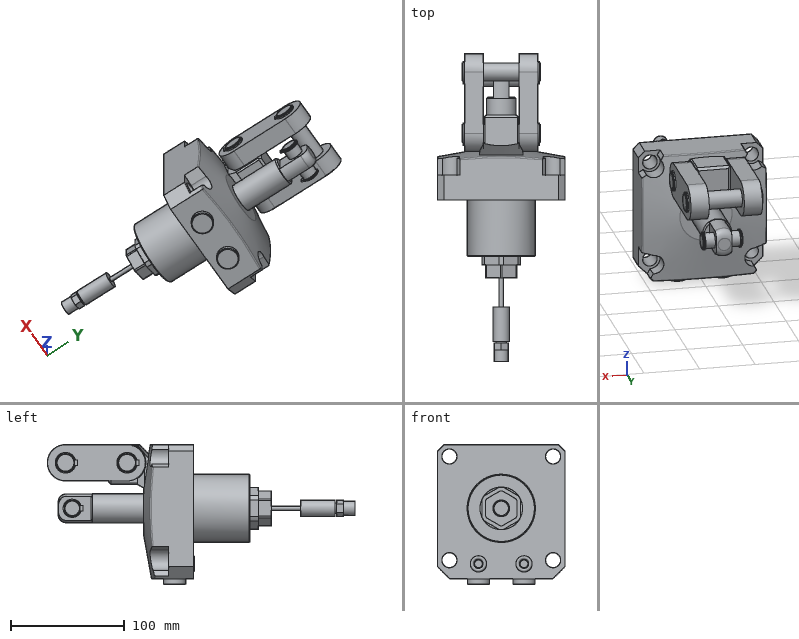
import cadquery as cq
import math


flange_half_width = 56.0
flange_top = flange_half_width
flange_bottom = -62.0
top_corner_chamfer = 5.75
bottom_corner_chamfer = 10.9
bolt_offset = 45.5
bolt_diameter = 13.0
dome_height = 44.0
dome_flat_radius = 23.5
dome_slope = 0.18
dome_edge_fillet = 1.0

pocket_floor = 22.0
pocket_radius = 9.0
pocket_neck = 6.2
pocket_mouth = 9.2
lower_pocket_side_flare = 0.3
lower_pocket_bottom_flare = 0.5

barrel_diameter = 60.0
barrel_end = -49.5
barrel_chamfer = 0.9
recess_diameter = 37.4
recess_depth = 1.0
large_hex_flats = 34.0
large_hex_diameter = 37.0
large_hex_end = -56.8
small_hex_flats = 27.4
small_hex_diameter = 30.7
small_hex_end = -68.25

port_spacing = 40.0
face_port_z = -48.75
face_port_diameter = 14.3
face_port_bore = 8.0
face_port_height = 0.7
face_port_depth = 2.0
nozzle_wall = 0.6
plug_y = 16.75
plug_diameter = 19.6
plug_height = 5.05
plug_chamfer = 0.8

link_width = 32.0
link_pin_z = flange_top - link_width / 2
link_pin_y = 58.5
link_pitch = 54.0
link_end_pin_y = link_pin_y + link_pitch
link_inner = 15.75
link_thickness = 16.5
link_outer = link_inner + link_thickness
link_pin_diameter = 16.0

lug_half_width = 15.5
lug_bottom = 20.9
lug_end = 74.75
lug_end_chamfer = 2.2
lug_edge_chamfer = 1.4
flare_start = 49.5
flare_base = 43.0
flare_growth = 3.5
relief_clearance = 0.5
trim_start = 47.7
lug_root = 37.0

rod_diameter = 26.0
rod_end = 119.0
rod_end_fillet = 7.0
rod_shoulder = 90.3
rod_shoulder_chamfer = 1.3
rod_head_diameter = 25.4
rod_head_half_width = 7.0
rod_seat = 10.0
rod_pin_y = 106.6
rod_pin_diameter = 14.0
rod_pin_half_length = 18.0

pin_overhang = 2.3
pin_chamfer = 0.6
ring_thickness = 1.2
ring_wall = 1.0
ring_ear_length = 2.6
ring_ear_width = 4.6

cable_diameter = 4.0
cable_seat = small_hex_end + 5.0
sensor_end = -141.75
sleeve_diameter = 14.6
sleeve_start = -93.75
neck_diameter = 9.5
neck_start = -124.2
nut_flats = 12.6
nut_start = -125.4
nut_end = -131.4
tip_diameter = 12.6


def bar_y(diameter, start, end, x=0.0, z=0.0):
    """Round bar parallel to Y."""
    plane = cq.Workplane("XZ", origin=(x, start, z))
    return plane.circle(diameter / 2).extrude(start - end)


def bar_x(diameter, half_length, y, z):
    """Round bar parallel to X, centred on X = 0."""
    plane = cq.Workplane("YZ", origin=(0, y, z))
    return plane.circle(diameter / 2).extrude(half_length, both=True)


def hex_y(flats, start, end):
    """Hexagonal bar along Y with corners pointing up and down."""
    hexagon = cq.Workplane("XZ", origin=(0, start, 0)).polygon(6, flats / math.cos(math.pi / 6))
    return hexagon.extrude(start - end).rotate((0, 0, 0), (0, 1, 0), 30)


def block(x_range, y_range, z_range):
    size = [high - low for low, high in (x_range, y_range, z_range)]
    corner = (x_range[0], y_range[0], z_range[0])
    return cq.Workplane("XY").box(*size, centered=False).translate(corner)


def pin_with_rings(diameter, half_length, seat, y, z):
    """Pin along X with an eared retaining ring at each end, outside the given seat."""
    pin = bar_x(diameter, half_length, y, z).faces("<X or >X").chamfer(pin_chamfer)
    ring_radius = diameter / 2 + ring_wall
    for side in (-1, 1):
        ring_plane = cq.Workplane("YZ", origin=(side * seat, y, z))
        ring = ring_plane.circle(ring_radius).extrude(side * ring_thickness)
        ear_reach = diameter / 2 + ring_ear_length
        ear = (
            ring_plane.center(-ear_reach / 2, 0)
            .rect(ear_reach, ring_ear_width)
            .extrude(side * ring_thickness)
        )
        pin = pin.union(ring).union(ear)
    return pin


def make_flange():
    """Square flange with chamfered corners under a shallow conical dome."""
    outline = (
        cq.Workplane("XZ")
        .moveTo(-flange_half_width, flange_bottom + bottom_corner_chamfer)
        .lineTo(-flange_half_width, flange_top - top_corner_chamfer)
        .lineTo(-flange_half_width + top_corner_chamfer, flange_top)
        .lineTo(flange_half_width - top_corner_chamfer, flange_top)
        .lineTo(flange_half_width, flange_top - top_corner_chamfer)
        .lineTo(flange_half_width, flange_bottom + bottom_corner_chamfer)
        .lineTo(flange_half_width - bottom_corner_chamfer, flange_bottom)
        .lineTo(-flange_half_width + bottom_corner_chamfer, flange_bottom)
        .close()
        .extrude(-dome_height)
    )
    rim_radius = math.hypot(flange_half_width, flange_bottom)
    rim_height = dome_height - dome_slope * (rim_radius - dome_flat_radius)
    dome = (
        cq.Workplane("XY")
        .polyline([(0, 0), (rim_radius, 0), (rim_radius, rim_height),
                   (dome_flat_radius, dome_height), (0, dome_height)])
        .close()
        .revolve(360, (0, 0, 0), (0, 1, 0))
    )
    flange = outline.intersect(dome)
    rim_reach = 2 * flange_half_width
    dome_rim = cq.selectors.BoxSelector(
        (-rim_reach, pocket_floor, -rim_reach),
        (rim_reach, dome_height - dome_edge_fillet, rim_reach))
    return flange.edges(dome_rim).fillet(dome_edge_fillet)


def place_pocket(wall, x_sign, z_sign):
    """Turn a pocket outline into a cutter at one bolt, mirrored into its quadrant.

    The outline is measured from the bolt, outwards in X and outwards in Z.
    """
    cutter = wall.close().extrude(-dome_height)
    if x_sign < 0:
        cutter = cutter.mirror("YZ")
    if z_sign < 0:
        cutter = cutter.mirror("XY")
    return cutter.translate((x_sign * bolt_offset, 0, z_sign * bolt_offset))


def upper_pocket(x_sign):
    """Round wall behind the bolt head that flares towards the flange side and top."""
    neck_depth = math.sqrt(pocket_radius ** 2 - pocket_neck ** 2)
    diagonal = -pocket_radius / math.sqrt(2)
    side = flange_half_width - bolt_offset
    outside = side + pocket_radius
    wall = (
        cq.Workplane("XZ", origin=(0, pocket_floor, 0))
        .moveTo(pocket_neck, -neck_depth)
        .threePointArc((diagonal, diagonal), (-neck_depth, pocket_neck))
        .lineTo(-pocket_mouth, side)
        .lineTo(-pocket_mouth, outside)
        .lineTo(outside, outside)
        .lineTo(outside, -pocket_mouth)
        .lineTo(side, -pocket_mouth)
    )
    return place_pocket(wall, x_sign, 1)


def lower_pocket(x_sign):
    """Half-round wall that flares towards the flange side and the corner chamfer."""
    side = flange_half_width - bolt_offset
    bottom = -flange_bottom - bolt_offset
    wall = (
        cq.Workplane("XZ", origin=(0, pocket_floor, 0))
        .moveTo(0, -pocket_radius)
        .threePointArc((-pocket_radius, 0), (0, pocket_radius))
        .lineTo(lower_pocket_bottom_flare * (bottom - pocket_radius), bottom)
        .lineTo(side, bottom)
        .lineTo(side, -pocket_radius - lower_pocket_side_flare * side)
    )
    return place_pocket(wall, x_sign, -1)


def make_lug():
    """Square lug with a flared foot, a pin hole and clearance for the link plates."""
    lug = block((-lug_half_width, lug_half_width), (lug_root, lug_end), (lug_bottom, flange_top))
    lug = lug.faces(">Y").chamfer(lug_end_chamfer)
    lug = lug.edges("|Y").chamfer(lug_edge_chamfer)

    lug_height = flange_top - lug_bottom
    foot_width = 2 * (lug_half_width + flare_growth)
    foot_height = lug_height + 2 * flare_growth
    foot_plane = cq.Workplane("XZ", origin=(0, lug_root, lug_bottom + lug_height / 2))
    foot = foot_plane.rect(foot_width, foot_height).extrude(lug_root - flare_base)
    flare = (
        foot.faces(">Y").workplane(centerOption="CenterOfBoundBox")
        .rect(foot_width, foot_height)
        .workplane(offset=flare_start - flare_base)
        .rect(2 * lug_half_width, lug_height)
        .loft(ruled=True)
    )
    relief = bar_x(link_width + 2 * relief_clearance, link_outer, link_pin_y, link_pin_z)
    relief = relief.cut(block((-lug_half_width, lug_half_width), (0, lug_end), (0, flange_top)))
    lug = lug.union(flare.cut(relief))

    root_radius = flange_top + lug_root - trim_start
    end_radius = flange_top + lug_end - trim_start
    trim_cone = (
        cq.Workplane("XY")
        .polyline([(0, lug_root), (root_radius, lug_root), (end_radius, lug_end), (0, lug_end)])
        .close()
        .revolve(360, (0, 0, 0), (0, 1, 0))
    )
    top_slab = block((-flange_half_width, flange_half_width), (0, lug_end), (0, flange_top))
    pin_hole = bar_x(link_pin_diameter, lug_half_width, link_pin_y, link_pin_z)
    return lug.intersect(trim_cone).intersect(top_slab).cut(pin_hole)


def make_sealing_ring(x):
    """Round ring around a face port, standing slightly proud of the flange."""
    tube_radius = (face_port_diameter - face_port_bore) / 4
    centre_radius = (face_port_diameter + face_port_bore) / 4
    ring = (
        cq.Workplane("XY")
        .center(centre_radius, tube_radius - face_port_height)
        .circle(tube_radius)
        .revolve(360, (-centre_radius, 0, 0), (-centre_radius, 1, 0))
    )
    return ring.translate((x, 0, face_port_z))


def make_plug(x):
    plug = (
        cq.Workplane("XY", origin=(x, plug_y, flange_bottom))
        .circle(plug_diameter / 2)
        .extrude(-plug_height)
    )
    return plug.faces("<Z").chamfer(plug_chamfer)


def make_housing():
    housing = make_flange().union(make_lug())
    for x_sign in (-1, 1):
        housing = housing.cut(upper_pocket(x_sign)).cut(lower_pocket(x_sign))
        for z_sign in (-1, 1):
            housing = housing.cut(
                bar_y(bolt_diameter, 0, dome_height, x_sign * bolt_offset, z_sign * bolt_offset))

    barrel = bar_y(barrel_diameter, barrel_end, 0).faces("<Y").chamfer(barrel_chamfer)
    recess_floor = barrel_end + recess_depth
    barrel = barrel.cut(bar_y(recess_diameter, barrel_end, recess_floor))
    large_hex = hex_y(large_hex_flats, large_hex_end, recess_floor).intersect(
        bar_y(large_hex_diameter, large_hex_end, recess_floor))
    small_hex = hex_y(small_hex_flats, small_hex_end, large_hex_end).intersect(
        bar_y(small_hex_diameter, small_hex_end, large_hex_end))
    housing = housing.union(barrel).union(large_hex).union(small_hex)

    for x in (-port_spacing / 2, port_spacing / 2):
        counterbore = bar_y(face_port_diameter, 0, face_port_depth, x, face_port_z)
        nozzle = bar_y(face_port_bore, 0, face_port_depth, x, face_port_z)
        bore = bar_y(face_port_bore - 2 * nozzle_wall, 0, face_port_depth, x, face_port_z)
        housing = housing.cut(counterbore).union(nozzle.cut(bore))
        housing = housing.union(make_sealing_ring(x)).union(make_plug(x))

    housing = housing.cut(bar_y(rod_diameter, rod_seat, dome_height))
    return housing.cut(bar_y(cable_diameter, small_hex_end, cable_seat))


def make_piston_rod():
    """Rod with a flat-sided head and a cross pin."""
    head = bar_y(rod_head_diameter, rod_seat, rod_end).faces(">Y").edges().fillet(rod_end_fillet)
    shank = bar_y(rod_diameter, rod_seat, rod_shoulder).faces(">Y").chamfer(rod_shoulder_chamfer)
    head_slab = block(
        (-rod_head_half_width, rod_head_half_width),
        (rod_seat, rod_end),
        (-rod_diameter / 2, rod_diameter / 2))
    rod = head.intersect(head_slab).union(shank)
    ring_seat = rod_pin_half_length - pin_overhang
    return rod.union(
        pin_with_rings(rod_pin_diameter, rod_pin_half_length, ring_seat, rod_pin_y, 0))


def make_double_link():
    """Two round-ended plates joined by their two pins."""
    link = None
    for side in (-1, 1):
        plate = (
            cq.Workplane("YZ", origin=(side * link_inner, link_pin_y + link_pitch / 2, link_pin_z))
            .slot2D(link_pitch + link_width, link_width)
            .extrude(side * link_thickness)
        )
        link = plate if link is None else link.union(plate)
    for y in (link_pin_y, link_end_pin_y):
        link = link.union(
            pin_with_rings(link_pin_diameter, link_outer + pin_overhang, link_outer, y, link_pin_z))
    return link


def make_sensor():
    """Cable plugged into the small hexagon, ending in a connector."""
    nut = hex_y(nut_flats, nut_end, nut_start)
    return (
        bar_y(cable_diameter, sleeve_start, cable_seat)
        .union(bar_y(sleeve_diameter, neck_start, sleeve_start))
        .union(bar_y(neck_diameter, nut_start, neck_start))
        .union(nut)
        .union(bar_y(tip_diameter, sensor_end, nut_end))
    )


housing = make_housing()
piston_rod = make_piston_rod()
double_link = make_double_link()
sensor = make_sensor()

result = cq.Compound.makeCompound(
    [housing.val(), piston_rod.val(), double_link.val(), sensor.val()])